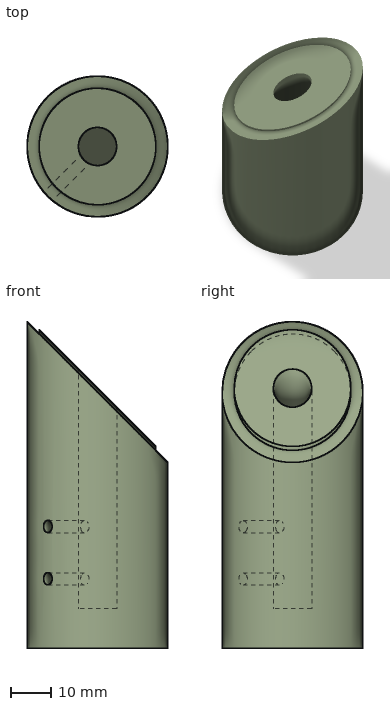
import cadquery as cq

body_diameter = 34.9
body_height = 81.0
body_radius = body_diameter / 2
slope_mid_height = body_height - body_radius

pad_diameter = 28.9
pad_rise = 1.0

bore_diameter = 9.5
bore_floor_height = 10.0

hole_diameter = 3.0
hole_heights = (17.25, 30.2)


def sloped_cylinder(diameter, mid_height, base_height=0):
    """Vertical cylinder whose top is a 45 degree plane crossing the axis at mid_height."""
    radius = diameter / 2
    profile = (
        cq.Workplane("XZ")
        .moveTo(-radius, base_height)
        .lineTo(radius, base_height)
        .lineTo(radius, mid_height - radius)
        .lineTo(-radius, mid_height + radius)
        .close()
        .extrude(radius, both=True)
    )
    cylinder = (
        cq.Workplane("XY", origin=(0, 0, base_height))
        .circle(radius)
        .extrude(mid_height + radius - base_height)
    )
    return cylinder.intersect(profile)


def radial_hole(height):
    """Horizontal hole cutter from the body axis out through the (-X, -Y) side."""
    plane = cq.Plane(origin=(0, 0, height), xDir=(0, 0, 1), normal=(-1, -1, 0))
    return cq.Workplane(plane).circle(hole_diameter / 2).extrude(body_diameter)


pad_mid_height = slope_mid_height + pad_rise
body = sloped_cylinder(body_diameter, slope_mid_height)
pad = sloped_cylinder(pad_diameter, pad_mid_height)

bore = sloped_cylinder(bore_diameter, pad_mid_height, bore_floor_height)

result = body.union(pad).cut(bore)
for hole_height in hole_heights:
    result = result.cut(radial_hole(hole_height))